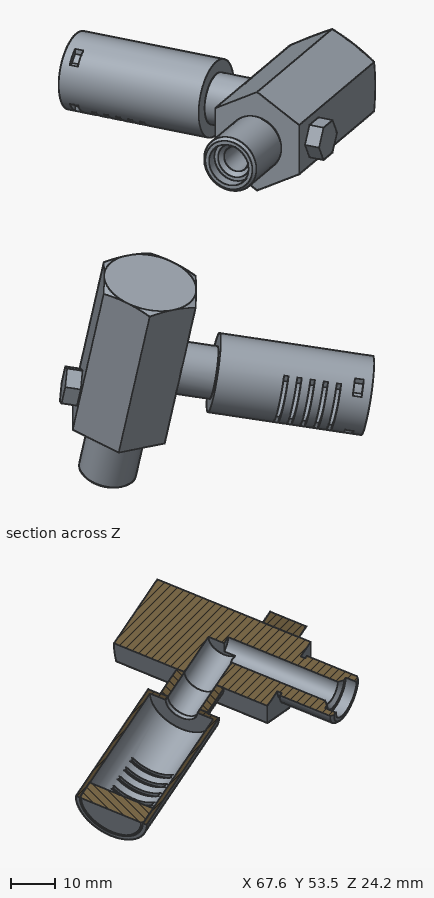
import cadquery as cq
import math


housing_flats = 21.0
housing_corners = housing_flats / math.cos(math.radians(30))
housing_length = 39.0
housing_back = 22.0
housing_front = housing_back - housing_length
end_chamfer_length = 0.6
end_face_diameter = housing_flats

stud_length = 14.5
stud_diameter = 13.1
stud_chamfer = 0.7
relief_diameter = 11.5
relief_length = 1.0
stud_tip = housing_front - stud_length

counterbore_diameter = 9.9
counterbore_depth = 2.7
funnel_diameter = 8.05
suction_diameter = 6.0
funnel_length = (funnel_diameter - suction_diameter) / 2

exhaust_diameter = 8.0
exhaust_end = 1.0

neck_diameter = 12.0
neck_length = 8.0
neck_start = -housing_flats / 2 - neck_length

sleeve_diameter = 18.05
sleeve_inner_diameter = 15.95
sleeve_length = 35.0
boss_height = 0.1
sleeve_wall_end = neck_start - boss_height
sleeve_start = sleeve_wall_end - sleeve_length
wall_thickness = (sleeve_diameter - sleeve_inner_diameter) / 2
end_wall_start = sleeve_wall_end - wall_thickness

slot_count = 5
slot_width = 1.0
slot_span = 12.0
slot_pitch = slot_span / (slot_count - 1)
first_slot = 7.6
slot_roof = 6.2

window_count = 4
window_width = 2.0
window_offset = 2.1
window_edge = 4.8

cap_length = 5.0
cap_chamfer = 0.4

plug_flats = 8.0
plug_corners = plug_flats / math.cos(math.radians(30))
plug_height = 3.5
plug_y = -9.45


def rod_x(x_start, x_end, diameter):
    """Round rod on the silencer axis."""
    plane = cq.Workplane("YZ", origin=(x_start, 0, 0))
    return plane.circle(diameter / 2).extrude(x_end - x_start)


def turned_y(outline):
    """Solid of revolution about the Y axis from (radius, y) points."""
    return cq.Workplane("XY").polyline(outline).close().revolve(360, (0, 0), (0, 1))


def hexagonal_bar():
    """Housing bar with corners up and down, chamfered by a cone at its back end."""
    bar = (
        cq.Workplane("XZ", origin=(0, housing_back, 0))
        .polygon(6, housing_corners)
        .extrude(housing_length)
        .rotate((0, 0, 0), (0, 1, 0), 30)
    )
    envelope = turned_y([
        (0, housing_front),
        (housing_corners / 2, housing_front),
        (housing_corners / 2, housing_back - end_chamfer_length),
        (end_face_diameter / 2, housing_back),
        (0, housing_back),
    ])
    return bar.intersect(envelope)


def stud():
    """Stud with a thread relief next to the housing and a chamfered tip."""
    relief_end = housing_front - relief_length
    return turned_y([
        (0, housing_front),
        (relief_diameter / 2, housing_front),
        (relief_diameter / 2, relief_end),
        (stud_diameter / 2, relief_end),
        (stud_diameter / 2, stud_tip + stud_chamfer),
        (stud_diameter / 2 - stud_chamfer, stud_tip),
        (0, stud_tip),
    ])


def suction_bore():
    """Counterbore, funnel and straight bore, ending flat on the silencer axis."""
    funnel_start = stud_tip + counterbore_depth
    funnel_end = funnel_start + funnel_length
    return turned_y([
        (0, stud_tip),
        (counterbore_diameter / 2, stud_tip),
        (counterbore_diameter / 2, funnel_start),
        (funnel_diameter / 2, funnel_start),
        (suction_diameter / 2, funnel_end),
        (suction_diameter / 2, 0),
        (0, 0),
    ])


def exhaust_bore():
    """Bore shared by the housing, the neck and the end wall of the sleeve."""
    return rod_x(end_wall_start, exhaust_end, exhaust_diameter)


def make_housing():
    return hexagonal_bar().union(stud()).cut(suction_bore()).cut(exhaust_bore())


def make_neck():
    return rod_x(neck_start, -housing_flats / 2, neck_diameter).cut(exhaust_bore())


def slot_cutter(index):
    """Slot that removes the whole underside of the sleeve below the slot roof."""
    center_x = sleeve_start + first_slot + index * slot_pitch
    slot_depth = sleeve_diameter / 2 - slot_roof
    return cq.Workplane("XY", origin=(center_x, 0, -sleeve_diameter / 2)).box(
        slot_width, sleeve_diameter, slot_depth, centered=(True, True, False)
    )


def window_cutter(index):
    """Box with its inner corner 45 degrees around the sleeve, turned to one of the windows."""
    window_depth = sleeve_diameter / 2 - window_edge
    corner = (sleeve_start + window_offset, window_edge, window_edge)
    cutter = cq.Workplane("XY", origin=corner).box(
        window_width, window_depth, window_depth, centered=False
    )
    return cutter.rotate((0, 0, 0), (1, 0, 0), index * 360 / window_count)


def make_sleeve():
    """Tube with a bored end wall and a low boss that meets the neck."""
    tube = rod_x(sleeve_start, sleeve_wall_end, sleeve_diameter)
    tube = tube.union(rod_x(sleeve_wall_end, neck_start, neck_diameter))
    tube = tube.cut(rod_x(sleeve_start, end_wall_start, sleeve_inner_diameter))
    tube = tube.cut(exhaust_bore())
    for index in range(slot_count):
        tube = tube.cut(slot_cutter(index))
    for index in range(window_count):
        tube = tube.cut(window_cutter(index))
    return tube


def make_cap():
    """Disc flush with the open end of the sleeve."""
    disc = rod_x(sleeve_start, sleeve_start + cap_length, sleeve_inner_diameter)
    return disc.faces("<X").chamfer(cap_chamfer)


def make_plug():
    """Hexagonal head with its corners along Y."""
    return (
        cq.Workplane("YZ", origin=(housing_flats / 2, plug_y, 0))
        .polygon(6, plug_corners)
        .extrude(plug_height)
    )


housing = make_housing()
neck = make_neck()
sleeve = make_sleeve()
cap = make_cap()
plug = make_plug()

result = cq.Compound.makeCompound([
    housing.val(),
    neck.val(),
    sleeve.val(),
    cap.val(),
    plug.val(),
])